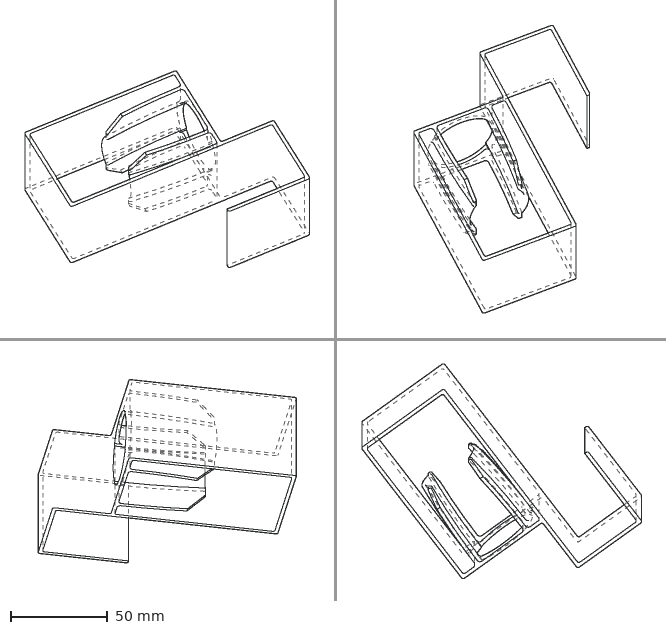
import cadquery as cq
import math

total_width = 92.9
total_depth = 118.6
height = 49.5
wall = 2.0
corner_radius = 1.1

box_width = 53.2
box_depth = 88.0
hook_drop = 47.3

bore_radius = 18.3
bore_x = box_width / 2
bore_z = height / 2
back_hole_radius = 19.3

arm_length = 45.3
arm_lean = 2.7
arm_half_gap = 14.5
arm_inner_x = bore_x - arm_half_gap
arm_tip_chamfer = 9.2
arm_root_fillet = 1.8
arm_straight = 2.0
arm_tip_fillet = 0.7

back_wall_inside = box_depth - wall
bend_start = back_wall_inside - arm_straight
bend_length = arm_length - arm_straight
hook_left = box_width - wall


def block(x_min, x_max, y_min, y_max):
    """Full-height block standing on the XY plane."""
    return (
        cq.Workplane("XY")
        .box(x_max - x_min, y_max - y_min, height, centered=False)
        .translate((x_min, y_min, 0))
    )


def upright_edge(x, y):
    """Selector for the vertical edge at a plan position."""
    reach = wall / 4
    return cq.selectors.BoxSelector(
        (x - reach, y - reach, -1), (x + reach, y + reach, height + 1)
    )


def make_shell():
    """Box walls and hook, with their corners rounded."""
    box = block(0, box_width, 0, box_depth)
    hook = block(hook_left, total_width, box_depth - wall, total_depth)
    tail = block(total_width - wall, total_width, total_depth - hook_drop, total_depth)
    box_inside = block(wall, box_width - wall, wall, back_wall_inside)
    hook_inside = block(box_width, total_width - wall, 0, total_depth - wall)
    shell = box.union(hook).union(tail).cut(box_inside).cut(hook_inside)

    rounded_corners = [
        (0, 0),
        (box_width, 0),
        (0, box_depth),
        (hook_left, box_depth),
        (hook_left, total_depth),
        (total_width, total_depth),
        (total_width, total_depth - hook_drop),
        (wall, wall),
        (hook_left, wall),
        (wall, back_wall_inside),
        (hook_left, back_wall_inside),
        (box_width, total_depth - wall),
        (total_width - wall, total_depth - wall),
    ]
    for x, y in rounded_corners:
        shell = shell.edges(upright_edge(x, y)).fillet(corner_radius)
    return shell


def chord_rise(radius, half_gap):
    """Height above the bore axis at which a circle about it is a given distance out."""
    return math.sqrt(radius**2 - half_gap**2)


outer_radius = bore_radius + wall
arm_outer_x = arm_inner_x - wall
inner_rise = chord_rise(bore_radius, arm_half_gap)
outer_rise = chord_rise(outer_radius, arm_half_gap + wall)
hole_rise = chord_rise(back_hole_radius, arm_half_gap)


def arm_outer_side():
    """Unclosed outer side of the left arm's section: upright, bowed around the bore."""
    return (
        cq.Workplane("XZ", origin=(0, bend_start, 0))
        .moveTo(arm_inner_x, height)
        .lineTo(arm_outer_x, height)
        .lineTo(arm_outer_x, bore_z + outer_rise)
        .threePointArc((bore_x - outer_radius, bore_z), (arm_outer_x, bore_z - outer_rise))
        .lineTo(arm_outer_x, 0)
        .lineTo(arm_inner_x, 0)
    )


def make_left_stub():
    """Straight root of the left arm, running through the back wall, its bow still filled in."""
    return arm_outer_side().close().extrude(-arm_straight - wall)


def make_left_arm():
    """Bent part of the left arm, curving towards the bore on an arc."""
    section = (
        arm_outer_side()
        .lineTo(arm_inner_x, bore_z - inner_rise)
        .threePointArc((bore_x - bore_radius, bore_z), (arm_inner_x, bore_z + inner_rise))
        .close()
    )
    bend_radius = (bend_length**2 + arm_lean**2) / (2 * arm_lean)
    bend_angle = math.degrees(math.asin(bend_length / bend_radius))
    bend_x = arm_inner_x + bend_radius
    arm = section.revolve(bend_angle, (bend_x, 0, 0), (bend_x, 1, 0))

    tip_y = back_wall_inside - arm_length
    tip_edges = cq.selectors.BoxSelector(
        (0, tip_y - wall, arm_tip_fillet), (box_width, tip_y + wall, height - arm_tip_fillet)
    )
    arm = arm.edges(tip_edges).fillet(arm_tip_fillet)
    for edge_z, slope in ((0, 1), (height, -1)):
        corner = (
            cq.Workplane("YZ")
            .moveTo(tip_y - wall, edge_z - slope * wall)
            .lineTo(tip_y + arm_tip_chamfer + wall, edge_z - slope * wall)
            .lineTo(tip_y - wall, edge_z + slope * (arm_tip_chamfer + wall))
            .close()
            .extrude(box_width)
        )
        arm = arm.cut(corner)
    return arm


def make_back_hole():
    """Opening through the back wall: the bore beside the arms, wider above and below."""
    gap = arm_half_gap
    return (
        cq.Workplane("XZ", origin=(bore_x, box_depth, bore_z))
        .moveTo(-gap, inner_rise)
        .lineTo(-gap, hole_rise)
        .threePointArc((0, back_hole_radius), (gap, hole_rise))
        .lineTo(gap, inner_rise)
        .threePointArc((bore_radius, 0), (gap, -inner_rise))
        .lineTo(gap, -hole_rise)
        .threePointArc((0, -back_hole_radius), (-gap, -hole_rise))
        .lineTo(-gap, -inner_rise)
        .threePointArc((-bore_radius, 0), (-gap, inner_rise))
        .close()
        .extrude(wall + arm_straight)
    )


def both_sides(left):
    """A left-hand feature together with its mirror image across the bore."""
    return left.union(left.mirror("YZ", (bore_x, 0, 0)))


def blend_roots(body):
    """Fillets where the arm roots leave the inside of the back wall."""
    reach = wall / 4
    for arm_x in (arm_inner_x, box_width - arm_inner_x):
        roots = cq.selectors.BoxSelector(
            (arm_x - arm_half_gap / 2, back_wall_inside - reach, reach),
            (arm_x + arm_half_gap / 2, back_wall_inside + reach, height - reach),
        )
        body = body.edges(roots).edges("not |Y").fillet(arm_root_fillet)
    return body


back_wall = make_shell().union(both_sides(make_left_stub())).cut(make_back_hole())
result = blend_roots(back_wall).union(both_sides(make_left_arm()))